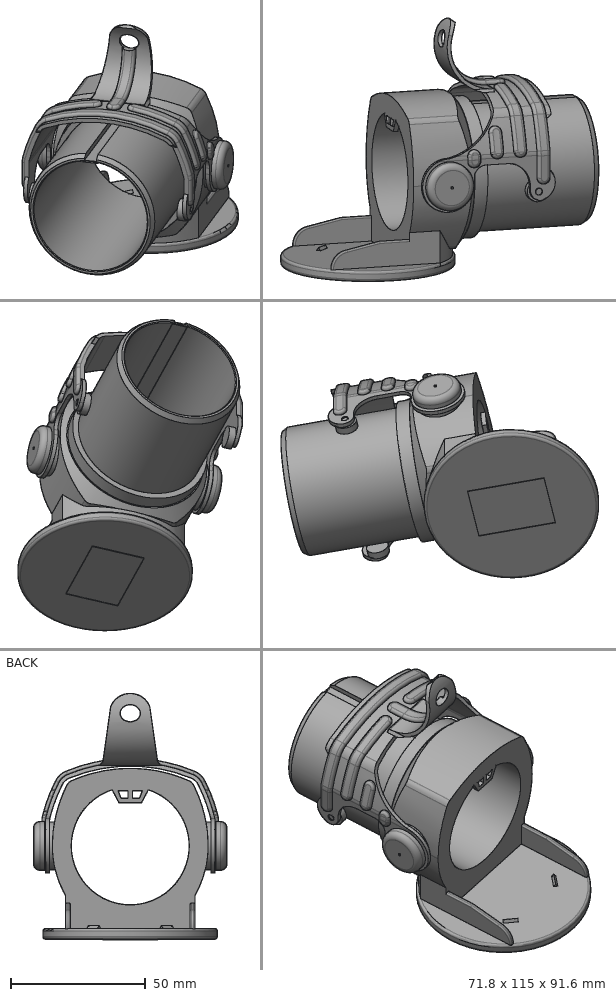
import cadquery as cq
import math

OVERLAP = 0.1
LONG = 200.0

tube_end_y = -61.28
tube_radius = 24.25
tube_chamfer_length = 2.1
tube_chamfer_depth = 1.2
bore_radius = 21.85
mouth_chamfer = 0.35
collar_radius = 26.5
collar_front_y = -16.9
groove_width = 4.6
groove_floor_z = 22.2
groove_pad_width = 5.8
groove_pad_z = 21.3

hood_back_y = 12.77
hood_front_y = -11.7
hood_half_width = 28.9
hood_top_z = 28.8
hood_bottom_z = -28.7
upper_side_radius = 50.0
lower_side_radius = 37.4
hood_top_corner_z = 23.7
hood_bottom_corner_z = -27.0
hood_corner_radius = 4.0
hood_face_radius = 27.0
hood_cone_slope = 1.1
hook_thickness = 1.8
hook_top_z = 22.5
hook_bottom_z = 16.0
hook_bottom_half_width = 4.2
hook_taper = 0.53
window_top_z = 20.4
window_bottom_z = 17.7
window_inner_x = 0.9
window_top_border = 2.1
window_bottom_border = 1.7

plate_radius = 32.4
plate_centre_y = hood_back_y + 8.55
plate_top_z = -30.65
plate_bottom_z = -34.65
plate_mid_z = (plate_top_z + plate_bottom_z) / 2
plate_edge_radius = 1.0
pad_length = 29.0
pad_width = 20.4
pad_height = 0.35
pillar_radius = 31.5
pillar_half_width = 24.05
rib_thickness = 1.85
rib_end_y = 43.1
rib_round = 0.6
middle_rib_drop = 0.8
rib_shoulder = (37.0, -23.7)
rib_crest = (24.35, -21.2)
rib_nose_mid = (41.0, -25.6)
stub_offset = 13.55
stub_length = 5.6
stub_width = 1.75
stub_height = 1.1

knob_outer_x = 35.9
knob_inner_x = 31.8
knob_radius = 9.06
knob_round = 2.4
dimple_radius = 0.45
dimple_depth = 0.3
shaft_radius = 6.0
boss_radius = 8.9

strap_thickness = 1.5
leg_inner_x = 29.9
leg_bottom_z = -20.0
arch_inner_z = hood_top_z + 0.8
arch_corner_radius = 4.8
skeleton_leg_top_z = 9.3
skeleton_side_mid = (23.1, 15.6)
skeleton_corner = (20.85, 20.65)
eye_radius = 10.1
strap_front_y = -41.6
leg_front_y = -39.5
pin_y = -35.3
pin_z = -4.5
pin_radius = 4.1
pin_inner_x = 27.2
pin_dimple_radius = 1.3
pin_dimple_depth = 0.5

bead_width = 5.0
bead_height = 1.4
bead_round = 1.2
bead_foot_z = 9.0
front_bead_y = -37.0
bead_pitch = 9.0
front_bead_foot_z = -1.65
arch_bead_inner_x = 5.0
short_bead_top_z = 20.8
eye_bead_z = (6.2, 12.9)

tab_radius = 16.9
tab_centre_y = -23.9
tab_centre_z = arch_inner_z + tab_radius
tab_foot_y = tab_centre_y - 0.5
tab_end_angle = math.radians(36.75)
tab_foot_half_width = 11.6
tab_base = (10.2, 31.2)
tab_shoulder = (7.3, 51.6)
tab_hole_width = 7.4
tab_hole_height = 6.3
tab_hole_z = 49.2
tab_bead_width = 5.3
tab_bead_end_y = -32.0
tab_bead_top_z = 46.6


def cylinder_x(radius, x0, x1, y=0.0, z=0.0):
    """Cylinder along X between x0 and x1."""
    return cq.Workplane("YZ", origin=(x0, 0, 0)).center(y, z).circle(radius).extrude(x1 - x0)


def block(x0, x1, y0, y1, z0, z1):
    return cq.Workplane("XY").box(x1 - x0, y1 - y0, z1 - z0, centered=False).translate((x0, y0, z0))


def mirrored_pair(shape):
    return shape.union(shape.mirror("YZ"))


def hood_side_x(z):
    """Half width of the hood: a flat arc above the axis, a rounder one below."""
    radius = upper_side_radius if z > 0 else lower_side_radius
    return hood_half_width - radius + math.sqrt(radius**2 - z**2)


def make_hood():
    top_x = hood_side_x(hood_top_corner_z)
    bottom_x = hood_side_x(hood_bottom_corner_z)
    upper_mid_z = hood_top_corner_z / 2
    lower_mid_z = hood_bottom_corner_z / 2
    depth = hood_back_y - hood_front_y
    hood = (
        cq.Workplane("XZ", origin=(0, hood_back_y, 0))
        .moveTo(-top_x, hood_top_corner_z)
        .threePointArc((0, hood_top_z), (top_x, hood_top_corner_z))
        .threePointArc((hood_side_x(upper_mid_z), upper_mid_z), (hood_half_width, 0))
        .threePointArc((hood_side_x(lower_mid_z), lower_mid_z), (bottom_x, hood_bottom_corner_z))
        .threePointArc((0, hood_bottom_z), (-bottom_x, hood_bottom_corner_z))
        .threePointArc((-hood_side_x(lower_mid_z), lower_mid_z), (-hood_half_width, 0))
        .threePointArc((-hood_side_x(upper_mid_z), upper_mid_z), (-top_x, hood_top_corner_z))
        .close()
        .extrude(depth)
    )
    corners = cq.selectors.BoxSelector((-hood_half_width + 2, -LONG, -LONG),
                                       (hood_half_width - 2, LONG, LONG))
    hood = hood.edges("|Y").edges(corners).fillet(hood_corner_radius)
    back_radius = hood_face_radius + hood_cone_slope * depth
    cone = cq.Solid.makeCone(hood_face_radius, back_radius, depth,
                             pnt=cq.Vector(0, hood_front_y, 0), dir=cq.Vector(0, 1, 0))
    return hood.intersect(cq.Workplane(cone))


def make_tube():
    """Collar and chamfered tube as one solid of revolution about Y."""
    return (
        cq.Workplane("XY")
        .moveTo(0, 0)
        .lineTo(collar_radius, 0)
        .lineTo(collar_radius, collar_front_y)
        .lineTo(tube_radius, collar_front_y)
        .lineTo(tube_radius, tube_end_y + tube_chamfer_length)
        .lineTo(tube_radius - tube_chamfer_depth, tube_end_y)
        .lineTo(0, tube_end_y)
        .close()
        .revolve(360, (0, 0, 0), (0, 1, 0))
    )


def make_bore():
    mouth_radius = bore_radius + mouth_chamfer
    return (
        cq.Workplane("XY")
        .moveTo(0, hood_back_y)
        .lineTo(bore_radius, hood_back_y)
        .lineTo(bore_radius, tube_end_y + mouth_chamfer)
        .lineTo(mouth_radius, tube_end_y)
        .lineTo(0, tube_end_y)
        .close()
        .revolve(360, (0, 0, 0), (0, 1, 0))
    )


def make_hook():
    """Trapezoid with two windows at the back of the bore."""
    def half_width(z):
        return hook_bottom_half_width + hook_taper * (z - hook_bottom_z)

    plane = cq.Workplane("XZ", origin=(0, hood_back_y, 0))
    hook = plane.polyline([
        (-half_width(hook_top_z), hook_top_z),
        (half_width(hook_top_z), hook_top_z),
        (half_width(hook_bottom_z), hook_bottom_z),
        (-half_width(hook_bottom_z), hook_bottom_z),
    ]).close().extrude(hook_thickness)
    window = plane.polyline([
        (window_inner_x, window_top_z),
        (half_width(window_top_z) - window_top_border, window_top_z),
        (half_width(window_bottom_z) - window_bottom_border, window_bottom_z),
        (window_inner_x, window_bottom_z),
    ]).close().extrude(hook_thickness)
    return hook.cut(mirrored_pair(window))


def make_plate():
    plate = (
        cq.Workplane("XY", origin=(0, plate_centre_y, plate_bottom_z))
        .circle(plate_radius)
        .extrude(plate_top_z - plate_bottom_z)
        .edges().fillet(plate_edge_radius)
    )
    pad = (
        cq.Workplane("XY", origin=(0, plate_centre_y, plate_bottom_z - pad_height))
        .rect(pad_width, pad_length)
        .extrude(pad_height + OVERLAP)
    )
    return plate.union(pad)


def make_pillar():
    """Disc segment that carries the hood, flat at both sides and at the back."""
    disc = (
        cq.Workplane("XY", origin=(0, plate_centre_y, plate_mid_z))
        .circle(pillar_radius)
        .extrude(-plate_mid_z)
    )
    return disc.intersect(block(-pillar_half_width, pillar_half_width, -LONG, hood_back_y, -LONG, 0))


def make_rib(x, drop):
    """Upright rib behind the hood with a rounded top, lowered by a drop."""
    def lowered(point):
        return (point[0], point[1] - drop)

    back_y = hood_back_y - OVERLAP
    rib = (
        cq.Workplane("YZ", origin=(x - rib_thickness / 2, 0, 0))
        .moveTo(back_y, plate_top_z - OVERLAP)
        .lineTo(rib_end_y, plate_top_z - OVERLAP)
        .lineTo(rib_end_y, plate_top_z)
        .threePointArc(lowered(rib_nose_mid), lowered(rib_shoulder))
        .lineTo(*lowered(rib_crest))
        .lineTo(back_y, rib_crest[1] - drop)
        .close()
        .extrude(rib_thickness)
    )
    above_plate = cq.selectors.BoxSelector((-LONG, -LONG, plate_top_z + 1), (LONG, LONG, 0))
    return rib.edges("not(|X or |Z)").edges(above_plate).fillet(rib_round)


def make_ribs():
    outer_x = pillar_half_width - rib_thickness / 2
    return make_rib(0, middle_rib_drop).union(mirrored_pair(make_rib(outer_x, 0)))


def make_stubs():
    """Short roof-shaped stubs on the plate, tangential to its rim."""
    stub = (
        cq.Workplane("YZ", origin=(-stub_length / 2, 0, plate_top_z))
        .moveTo(-stub_width / 2, -OVERLAP)
        .lineTo(stub_width / 2, -OVERLAP)
        .lineTo(0, stub_height)
        .close()
        .extrude(stub_length)
        .rotate((0, 0, 0), (0, 0, 1), -45)
        .translate((stub_offset, plate_centre_y + stub_offset, 0))
    )
    return mirrored_pair(stub)


def make_knobs():
    """Boss, shaft and rounded head on each side of the hood."""
    boss = cylinder_x(boss_radius, bore_radius, leg_inner_x)
    shaft = cylinder_x(shaft_radius, bore_radius, knob_inner_x + OVERLAP)
    head = cylinder_x(knob_radius, knob_inner_x, knob_outer_x).faces(">X").edges().fillet(knob_round)
    dimple = cylinder_x(dimple_radius, knob_outer_x - dimple_depth, knob_outer_x)
    return mirrored_pair(boss.union(shaft).union(head).cut(dimple))


def make_housing():
    stand = make_plate().union(make_pillar()).union(make_ribs()).union(make_stubs())
    housing = make_hood().union(make_tube()).union(stand).union(make_knobs())
    housing = housing.cut(make_bore())
    groove = block(-groove_width / 2, groove_width / 2, tube_end_y, collar_front_y,
                   groove_floor_z, tube_radius + 1)
    backing = block(-groove_pad_width / 2, groove_pad_width / 2, tube_end_y + mouth_chamfer, collar_front_y,
                    groove_pad_z, groove_floor_z)
    return housing.union(backing).cut(groove).union(make_hook())


def arch_prism(offset):
    """Prism bounded by the strap arch, grown outwards from its inner surface by an offset."""
    corner_x, corner_z = skeleton_corner
    mid_x, mid_z = skeleton_side_mid
    leg_x = leg_inner_x - arch_corner_radius
    return (
        cq.Workplane("XZ", origin=(0, LONG / 2, 0))
        .moveTo(-leg_x, leg_bottom_z)
        .lineTo(-leg_x, skeleton_leg_top_z)
        .threePointArc((-mid_x, mid_z), (-corner_x, corner_z))
        .threePointArc((0, arch_inner_z - arch_corner_radius), (corner_x, corner_z))
        .threePointArc((mid_x, mid_z), (leg_x, skeleton_leg_top_z))
        .lineTo(leg_x, leg_bottom_z)
        .close()
        .offset2D(arch_corner_radius + offset)
        .extrude(LONG)
    )


def strap_side_profile():
    """Side shape of the strap: eye at the knob, notch, pin lobe, arch band."""
    slant = eye_radius * math.sqrt(0.5)
    notch_top_z = 6.9
    notch_round = 4.5
    notch_start_y = -eye_radius
    lobe_radius = 3.3
    band_top_z = 34.0
    return (
        cq.Workplane("YZ", origin=(-LONG / 2, 0, 0))
        .moveTo(0, eye_radius)
        .threePointArc((eye_radius, 0), (0, -eye_radius))
        .threePointArc((-slant, -slant), (notch_start_y, 0))
        .lineTo(notch_start_y, notch_top_z - notch_round)
        .tangentArcPoint((notch_start_y - notch_round, notch_top_z), relative=False)
        .lineTo(-22.9, notch_top_z)
        .tangentArcPoint((-31.9, -1.6), relative=False)
        .lineTo(pin_y + lobe_radius, pin_z)
        .threePointArc((pin_y, pin_z - lobe_radius), (-38.4, -6.9))
        .threePointArc((strap_front_y, -0.9), (leg_front_y, 3.6))
        .lineTo(leg_front_y, 22.0)
        .lineTo(strap_front_y, 23.5)
        .lineTo(strap_front_y, band_top_z)
        .lineTo(-21.3, band_top_z)
        .lineTo(-21.3, arch_inner_z + strap_thickness)
        .threePointArc((-13.6, 17.0), (0, eye_radius))
        .close()
        .extrude(LONG)
    )


def round_rim(bead, lower_half, radius):
    """Round the upper rim of a bead: the edges that stand clear of its lower half."""
    rim = [edge for edge in bead.edges("not(|X or |Y)").vals()
           if not lower_half.val().isInside(edge.positionAt(0.5))]
    return bead.newObject(rim).fillet(radius)


def make_bead(footprint):
    """Rounded bead standing on the strap surface within a footprint prism."""
    bead = arch_prism(strap_thickness + bead_height).intersect(footprint)
    bead = round_rim(bead, arch_prism(strap_thickness + bead_height / 2), bead_round)
    return bead.cut(arch_prism(strap_thickness - OVERLAP))


def side_slot(y, z0, z1, x0, x1):
    """Slot prism along X, rounded at its lower and upper ends."""
    return (
        cq.Workplane("YZ", origin=(x0, y, (z0 + z1) / 2))
        .slot2D(z1 - z0, bead_width, 90)
        .extrude(x1 - x0)
    )


def make_beads():
    above_arch = 60.0
    front_bead = make_bead(side_slot(front_bead_y, front_bead_foot_z, above_arch, -LONG / 2, LONG / 2))

    second_y = front_bead_y + bead_pitch
    plan_slot = (
        cq.Workplane("XY", origin=(arch_bead_inner_x + LONG / 2, second_y, -LONG / 2))
        .slot2D(LONG, bead_width)
        .extrude(LONG)
    )
    second_bead = make_bead(side_slot(second_y, bead_foot_z, above_arch, 0, LONG).intersect(plan_slot))

    third_y = second_y + bead_pitch
    third_bead = make_bead(side_slot(third_y, bead_foot_z, short_bead_top_z, 0, LONG))

    fourth_y = third_y + bead_pitch
    fourth_bead = make_bead(side_slot(fourth_y, *eye_bead_z, 0, LONG))

    return [front_bead] + [mirrored_pair(bead) for bead in (second_bead, third_bead, fourth_bead)]


def curl_point(radius, angle):
    """Point on the tab curl; angle 0 points to +Y, positive towards +Z."""
    return (tab_centre_y + radius * math.cos(angle), tab_centre_z + radius * math.sin(angle))


def curl_band(outer, inner, end_angle, flat_end_y, width):
    """Band that lies flat on the strap and curls up to an end angle."""
    start = -math.pi / 2
    middle = (start + end_angle) / 2
    return (
        cq.Workplane("YZ", origin=(-width / 2, 0, 0))
        .moveTo(flat_end_y, tab_centre_z - outer)
        .lineTo(*curl_point(outer, start))
        .threePointArc(curl_point(outer, middle), curl_point(outer, end_angle))
        .lineTo(*curl_point(inner, end_angle))
        .threePointArc(curl_point(inner, middle), curl_point(inner, start))
        .lineTo(flat_end_y, tab_centre_z - inner)
        .close()
        .extrude(width)
    )


def make_tab():
    inner = tab_radius - strap_thickness
    tip_z = curl_point(tab_radius, tab_end_angle)[1]
    shoulder_x, shoulder_z = tab_shoulder
    base_x, base_z = tab_base
    outline = (
        cq.Workplane("XZ", origin=(0, LONG / 2, 0))
        .moveTo(-tab_foot_half_width, arch_inner_z)
        .lineTo(-base_x, base_z)
        .lineTo(-shoulder_x, shoulder_z)
        .threePointArc((0, tip_z), (shoulder_x, shoulder_z))
        .lineTo(base_x, base_z)
        .lineTo(tab_foot_half_width, arch_inner_z)
        .close()
        .extrude(LONG)
    )
    sheet = curl_band(tab_radius, inner, tab_end_angle, tab_foot_y, LONG).intersect(outline)

    bead_end = math.asin((tab_bead_top_z - tab_centre_z) / inner)
    bead = curl_band(inner + OVERLAP, inner - bead_height, bead_end, tab_bead_end_y, tab_bead_width)
    bead = bead.edges("|Z and <Y").fillet(tab_bead_width / 2 - OVERLAP)
    lower_half = curl_band(inner + OVERLAP, inner - bead_height / 2, bead_end, tab_bead_end_y, LONG)
    bead = round_rim(bead, lower_half, bead_round)
    hole = (
        cq.Workplane("XZ", origin=(0, LONG / 2, 0))
        .center(0, tab_hole_z)
        .ellipse(tab_hole_width / 2, tab_hole_height / 2)
        .extrude(LONG)
    )
    return sheet.union(bead).cut(hole)


def make_strap():
    strap = arch_prism(strap_thickness).cut(arch_prism(0)).intersect(strap_side_profile())
    for bead in make_beads():
        strap = strap.union(bead)
    outer_x = leg_inner_x + strap_thickness
    pin = cylinder_x(pin_radius, pin_inner_x, leg_inner_x, pin_y, pin_z)
    pin_dimple = cylinder_x(pin_dimple_radius, outer_x - pin_dimple_depth, outer_x, pin_y, pin_z)
    eye_hole = cylinder_x(shaft_radius, -LONG / 2, LONG / 2)
    strap = strap.union(make_tab()).union(mirrored_pair(pin))
    return strap.cut(mirrored_pair(pin_dimple)).cut(eye_hole)


housing = make_housing()
strap = make_strap()
result = cq.Compound.makeCompound([housing.solids().val(), strap.solids().val()])